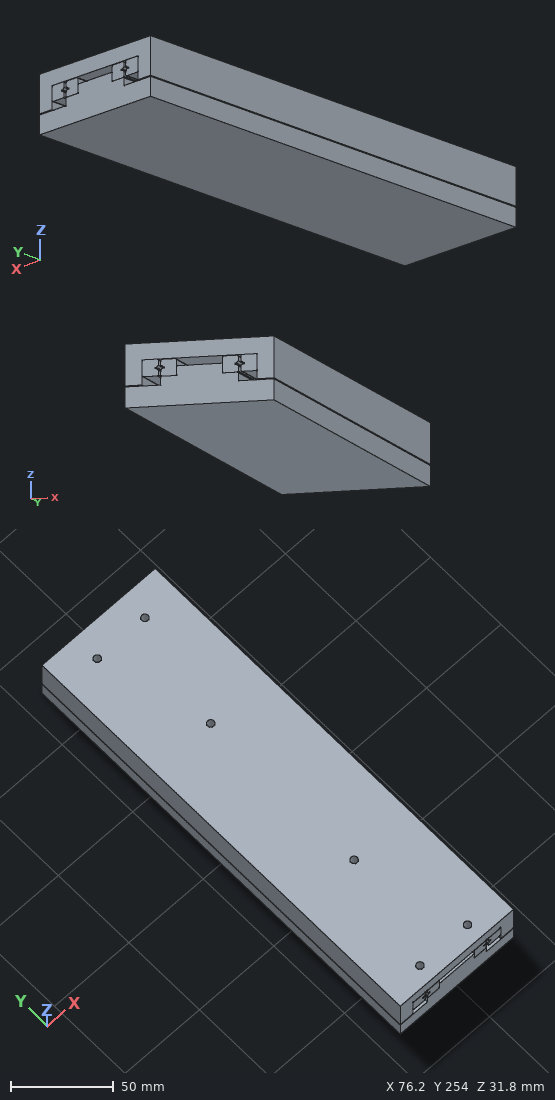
import cadquery as cq

length = 254.0
width = 76.2
height = 31.8

flange_height = 10.5
centre_height = 19.5
centre_half_width = 19.8
ledge_height = 14.7
ledge_inner_x = 11.7

flange_gap = 0.5
channel_half_width = 29.5
channel_ceiling = 23.4

rail_gap = 1.3
rail_clearance = 0.3
rail_bevel = 0.5
groove_depth = 1.0
relief_depth = 0.8
relief_half_height = 0.3
groove_half_mouth = relief_half_height + groove_depth
groove_height = (ledge_height + channel_ceiling) / 2
outer_rail_inner_x = centre_half_width + rail_gap

hole_diameter = 4.0
corner_hole_x = 16.0
corner_hole_y = 114.3
middle_hole_y = 50.8
hole_pattern_y = -3.3


def extrude_along_slide(outline):
    """Extrude a closed XZ outline over the full length, centred on Y = 0."""
    return cq.Workplane("XZ").polyline(outline).close().extrude(length / 2, both=True)


def make_base():
    """Make the base, stepped up from its flanges to the raised centre."""
    right_side = [
        (width / 2, 0),
        (width / 2, flange_height),
        (centre_half_width, flange_height),
        (centre_half_width, ledge_height),
        (ledge_inner_x, ledge_height),
        (ledge_inner_x, centre_height),
    ]
    left_side = [(-x, z) for x, z in reversed(right_side)]
    return extrude_along_slide(right_side + left_side)


def make_carriage():
    """Make the carriage, a channel open downwards with screw holes through its roof."""
    skirt_bottom = flange_height + flange_gap
    right_side = [
        (width / 2, height),
        (width / 2, skirt_bottom),
        (channel_half_width, skirt_bottom),
        (channel_half_width, channel_ceiling),
    ]
    left_side = [(-x, z) for x, z in reversed(right_side)]
    carriage = extrude_along_slide(right_side + left_side)

    hole_centres = [(0, y) for y in (-middle_hole_y, middle_hole_y)]
    for x in (-corner_hole_x, corner_hole_x):
        for y in (-corner_hole_y, corner_hole_y):
            hole_centres.append((x, y))
    holes = (
        cq.Workplane("XY", origin=(0, hole_pattern_y, channel_ceiling))
        .pushPoints(hole_centres)
        .circle(hole_diameter / 2)
        .extrude(height - channel_ceiling)
    )
    return carriage.cut(holes)


def make_rail(side, back_x, face_x, bottom, top):
    """Make a rail on one side (-1 or 1), with a V groove and a relief slot along its face."""
    into_rail = 1 if back_x > face_x else -1
    groove_x = face_x + into_rail * groove_depth
    relief_x = groove_x + into_rail * relief_depth
    bevel_x = into_rail * rail_bevel
    outline = [
        (back_x, bottom + rail_bevel),
        (back_x - bevel_x, bottom),
        (face_x + bevel_x, bottom),
        (face_x, bottom + rail_bevel),
        (face_x, groove_height - groove_half_mouth),
        (groove_x, groove_height - relief_half_height),
        (relief_x, groove_height - relief_half_height),
        (relief_x, groove_height + relief_half_height),
        (groove_x, groove_height + relief_half_height),
        (face_x, groove_height + groove_half_mouth),
        (face_x, top - rail_bevel),
        (face_x + bevel_x, top),
        (back_x - bevel_x, top),
        (back_x, top - rail_bevel),
    ]
    return extrude_along_slide([(side * x, z) for x, z in outline])


base = make_base()
carriage = make_carriage()

inner_rail_top = channel_ceiling - rail_clearance
outer_rail_bottom = ledge_height + rail_clearance
inner_rails = []
outer_rails = []
for side in (-1, 1):
    inner_rails.append(make_rail(side, ledge_inner_x, centre_half_width, ledge_height, inner_rail_top))
    outer_rails.append(
        make_rail(side, channel_half_width, outer_rail_inner_x, outer_rail_bottom, channel_ceiling)
    )

rails = [rail.val() for rail in inner_rails + outer_rails]
result = cq.Compound.makeCompound([base.val(), carriage.val(), *rails])